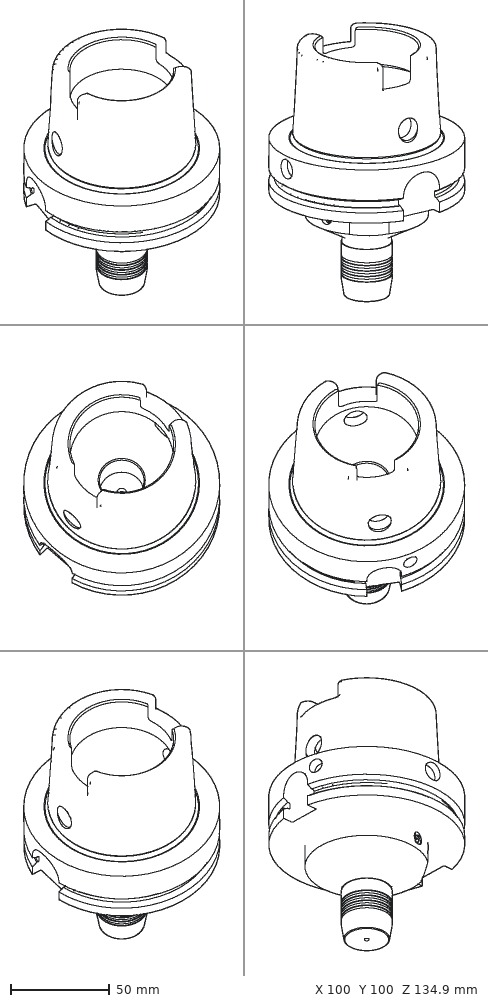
import cadquery as cq
import math

TOP_Z = 50.0
BOTTOM_Z = TOP_Z - 134.9

TAPER_BASE_Z = 2.4
TAPER_BASE_R = 37.8
TAPER_SLOPE = 1 / 20
TAPER_TOP_R = TAPER_BASE_R - TAPER_SLOPE * (TOP_Z - TAPER_BASE_Z)
RIM_ROUND = 1.8

RELIEF_R = 37.4
RELIEF_CHAMFER = 0.8
RELIEF_FILLET = 1.1
RELIEF_FLOOR_R = 39.1
RELIEF_MOUTH_R = 39.7
RELIEF_DEPTH = 0.3

BORE_R = 26.5
RIM_CHAMFER = 1.0
CLAMP_EDGE_Z = 30.5
UNDERCUT_R = 31.4
CLAMP_SHOULDER_ANGLE = 30.0
UNDERCUT_BOTTOM_Z = 10.4
FLOOR_FILLET = 6.7
FLOOR_Z = UNDERCUT_BOTTOM_Z - FLOOR_FILLET
TUBE_HOLE_R = 11.3
TUBE_HOLE_CHAMFER = 0.7
TUBE_HOLE_DEPTH = 16.2
COOLANT_R = 1.2
COOLANT_COUNTERSINK_R = 2.4

DRIVE_HALF_WIDTH = 10.0
DRIVE_STRAIGHT_Y = 27.0
DRIVE_FLARE_R = 5.0
DRIVE_FLARE_ANGLE = 25.0
DRIVE_FLOOR_FILLET = 1.9
DRIVE_EDGE_ROUND = 0.8
DRIVE_REACH = 40.5
FRONT_DRIVE_FLOOR_Z = 35.0
BACK_DRIVE_FLOOR_Z = 39.8

ACCESS_Z = 15.0
ACCESS_R = 6.0
ACCESS_COUNTERSINK_START = 36.7

FLANGE_R = 100.0 / 2
FLANGE_BOTTOM_Z = -28.7
GROOVE_Z = -19.8
GROOVE_MOUTH_HALF = 3.4
GROOVE_BEVEL_R = 49.2
GROOVE_BEVEL_HALF = 3.0
GROOVE_LIP_R = 47.2
GROOVE_LIP_HALF = 1.8
GROOVE_FLOOR_R = 45.7
GROOVE_FILLET = 0.8

KEY_FLOOR = 43.2
KEY_FILLET = 0.5
FRONT_KEY_HALF_WIDTH = 11.2
FRONT_KEY_Z = -15.6
BACK_KEY_HALF_WIDTH = 9.0
BACK_KEY_Z = -15.2

RIM_HOLE_Z = -7.0
CHIP_HOLE_R = 10.1 / 2
CHIP_HOLE_FLOOR = 45.9
SIDE_HOLE_R = 3.8
SIDE_HOLE_FLOOR = 44.5
SIDE_HOLE_ANGLE = 106.0

HUB_R = 63.0 / 2
HUB_FILLET = 1.0
HUB_BOTTOM_Z = -41.7
FLAT_DISTANCE = 29.8
FLAT_ANGLE = 237.5
FLAT_TOP_Z = -30.2

NECK_R = 12.7
NECK_TOP_Z = -52.1
NECK_FILLET = 3.0
NOSE_R = 26.0 / 2
NOSE_TOP_Z = -56.0
TIP_TOP_Z = -76.2
TIP_R = 11.6
TIP_CHAMFER = 0.4

RING_COUNT = 4
RING_TOP_Z = -64.0
RING_PITCH = 3.0
RING_WIRE_R = 0.8

SCREW_Y = -8.2
SCREW_Z = -35.2
SCREW_R = 2.5
SCREW_MOUTH_R = 3.2
SCREW_FACE = 28.7
SCREW_LENGTH = 8.1
SOCKET_WIDTH = 2.5
SOCKET_DEPTH = 2.0
SOCKET_TIP_DEPTH = 0.8


def ring_heights():
    return [RING_TOP_Z - i * RING_PITCH for i in range(RING_COUNT)]


def turned(points):
    """Solid of revolution about Z from (radius, height) points."""
    return cq.Workplane("XZ").polyline(points).close().revolve(360, (0, 0), (0, 1))


def radial_plane(angle, distance, height):
    """Plane facing outward from the Z axis; its local y points up."""
    direction = math.radians(angle)
    outward = (math.cos(direction), math.sin(direction), 0)
    origin = (distance * outward[0], distance * outward[1], height)
    across = (-outward[1], outward[0], 0)
    return cq.Plane(origin=origin, xDir=across, normal=outward)


def outer_body():
    upper_lip = [
        (FLANGE_R, GROOVE_MOUTH_HALF),
        (GROOVE_BEVEL_R, GROOVE_BEVEL_HALF),
        (GROOVE_LIP_R, GROOVE_LIP_HALF),
        (GROOVE_FLOOR_R, GROOVE_LIP_HALF),
    ]
    groove = [(radius, GROOVE_Z + offset) for radius, offset in upper_lip]
    groove += [(radius, GROOVE_Z - offset) for radius, offset in reversed(upper_lip)]
    shank = [
        (0, TOP_Z),
        (TAPER_TOP_R, TOP_Z),
        (TAPER_BASE_R, TAPER_BASE_Z),
        (RELIEF_R, TAPER_BASE_Z - RELIEF_CHAMFER),
        (RELIEF_R, -RELIEF_DEPTH),
        (RELIEF_FLOOR_R, -RELIEF_DEPTH),
        (RELIEF_MOUTH_R, 0),
    ]
    lower = [
        (FLANGE_R, FLANGE_BOTTOM_Z),
        (HUB_R, FLANGE_BOTTOM_Z),
        (HUB_R, HUB_BOTTOM_Z),
        (NECK_R, NECK_TOP_Z),
        (NECK_R, NOSE_TOP_Z),
        (NOSE_R, NOSE_TOP_Z),
        (NOSE_R, TIP_TOP_Z),
        (TIP_R + TIP_CHAMFER / 4, BOTTOM_Z + TIP_CHAMFER),
        (TIP_R - TIP_CHAMFER, BOTTOM_Z),
        (0, BOTTOM_Z),
    ]
    body = turned(shank + [(FLANGE_R, 0)] + groove + lower)
    rounds = [
        (TAPER_TOP_R, TOP_Z, RIM_ROUND),
        (RELIEF_R, -RELIEF_DEPTH, RELIEF_FILLET),
        (GROOVE_FLOOR_R, GROOVE_Z + GROOVE_LIP_HALF, GROOVE_FILLET),
        (GROOVE_FLOOR_R, GROOVE_Z - GROOVE_LIP_HALF, GROOVE_FILLET),
        (HUB_R, FLANGE_BOTTOM_Z, HUB_FILLET),
        (NECK_R, NECK_TOP_Z, NECK_FILLET),
    ]
    for circle_radius, height, round_radius in rounds:
        body = body.edges(circle_at(circle_radius, height)).fillet(round_radius)
    return body


def circle_at(radius, height):
    """Selector for the circle of the given radius about Z at the given height."""
    margin = 0.01
    inner = radius * math.sqrt(0.5)
    return cq.selectors.BoxSelector(
        (-radius - margin, -radius - margin, height - margin),
        (radius + margin, radius + margin, height + margin),
        boundingbox=True,
    ) - cq.selectors.BoxSelector(
        (-inner, -inner, height - margin), (inner, inner, height + margin), boundingbox=True
    )


def bore():
    shoulder_height = (UNDERCUT_R - BORE_R) * math.tan(math.radians(CLAMP_SHOULDER_ANGLE))
    countersink = COOLANT_COUNTERSINK_R - COOLANT_R
    tube_floor_z = FLOOR_Z - TUBE_HOLE_DEPTH
    bored = turned([
        (0, TOP_Z),
        (BORE_R + RIM_CHAMFER, TOP_Z),
        (BORE_R, TOP_Z - RIM_CHAMFER),
        (BORE_R, CLAMP_EDGE_Z),
        (UNDERCUT_R, CLAMP_EDGE_Z - shoulder_height),
        (UNDERCUT_R, FLOOR_Z),
        (TUBE_HOLE_R + TUBE_HOLE_CHAMFER, FLOOR_Z),
        (TUBE_HOLE_R, FLOOR_Z - TUBE_HOLE_CHAMFER),
        (TUBE_HOLE_R, tube_floor_z),
        (COOLANT_COUNTERSINK_R, tube_floor_z),
        (COOLANT_R, tube_floor_z - countersink),
        (COOLANT_R, BOTTOM_Z),
        (0, BOTTOM_Z),
    ])
    return bored.edges(circle_at(UNDERCUT_R, FLOOR_Z)).fillet(FLOOR_FILLET)


def flared_outline(side, floor_z):
    """Drive slot outline whose walls flare outward; side is -1 for the front and +1 for the back."""
    angle = math.radians(DRIVE_FLARE_ANGLE)
    centre_x = DRIVE_HALF_WIDTH + DRIVE_FLARE_R
    mid_x = centre_x - DRIVE_FLARE_R * math.sqrt(0.5)
    mid_y = DRIVE_STRAIGHT_Y + DRIVE_FLARE_R * math.sqrt(0.5)
    flare_x = centre_x + DRIVE_FLARE_R * math.sin(angle)
    flare_y = DRIVE_STRAIGHT_Y + DRIVE_FLARE_R * math.cos(angle)
    reach_y = flare_y - (DRIVE_REACH - flare_x) * math.tan(angle)
    inner_y = BORE_R / 2
    return (
        cq.Workplane("XY", origin=(0, 0, floor_z))
        .moveTo(-DRIVE_HALF_WIDTH, side * inner_y)
        .lineTo(DRIVE_HALF_WIDTH, side * inner_y)
        .lineTo(DRIVE_HALF_WIDTH, side * DRIVE_STRAIGHT_Y)
        .threePointArc((mid_x, side * mid_y), (flare_x, side * flare_y))
        .lineTo(DRIVE_REACH, side * reach_y)
        .lineTo(DRIVE_REACH, side * FLANGE_R)
        .lineTo(-DRIVE_REACH, side * FLANGE_R)
        .lineTo(-DRIVE_REACH, side * reach_y)
        .lineTo(-flare_x, side * flare_y)
        .threePointArc((-mid_x, side * mid_y), (-DRIVE_HALF_WIDTH, side * DRIVE_STRAIGHT_Y))
        .close()
    )


def drive_slot(side, floor_z):
    """Slot cutter with a filleted floor."""
    slot = flared_outline(side, floor_z).extrude(TOP_Z - floor_z)
    return slot.faces("<Z").edges().fillet(DRIVE_FLOOR_FILLET)


def drive_slot_mouth(side):
    """Cutter that rounds over the top edges of the drive slot walls."""
    start_z = TOP_Z - RIM_ROUND
    base_z = start_z - RIM_ROUND
    walls = cq.Workplane("XY", origin=(0, 0, base_z)).rect(4 * DRIVE_REACH, 4 * DRIVE_REACH)
    walls = walls.extrude(TOP_Z - base_z)
    walls = walls.cut(flared_outline(side, base_z).extrude(TOP_Z - base_z))
    half_box = 1.5 * DRIVE_REACH
    slot_edges = cq.selectors.BoxSelector(
        (-half_box, -half_box, start_z), (half_box, half_box, TOP_Z + RIM_ROUND)
    )
    walls = walls.faces(">Z").edges(slot_edges).fillet(RIM_ROUND)
    inner_y = BORE_R / 2
    layer = (
        cq.Workplane("XY", origin=(0, side * (inner_y + FLANGE_R) / 2, start_z))
        .rect(2 * (DRIVE_REACH - RIM_ROUND), FLANGE_R - inner_y - 2 * RIM_ROUND)
        .extrude(RIM_ROUND)
    )
    return layer.cut(walls)


def outer_floor_edge(body, floor_z):
    """Outer arc of the drive slot floor at the given height."""
    edge_r = TAPER_BASE_R - TAPER_SLOPE * (floor_z - TAPER_BASE_Z)
    arcs = body.edges("%CIRCLE").vals()
    return [
        arc for arc in arcs
        if abs(arc.radius() - edge_r) < 0.01 and abs(arc.Center().z - floor_z) < 0.01
    ]


def keyway(side, half_width, centre_z, floor_distance):
    """Round-topped keyway cutter that opens through the bottom of the flange."""
    drop = centre_z - FLANGE_BOTTOM_Z + 2 * KEY_FILLET
    plane = radial_plane(90 * side, floor_distance, centre_z)
    cutter = (
        cq.Workplane(plane)
        .moveTo(-half_width, -drop)
        .lineTo(-half_width, 0)
        .threePointArc((0, half_width), (half_width, 0))
        .lineTo(half_width, -drop)
        .close()
        .extrude(FLANGE_R)
    )
    inner_face = cutter.faces("<Y" if side > 0 else ">Y")
    return inner_face.edges().fillet(KEY_FILLET)


def rim_hole(angle, radius, floor_distance):
    return cq.Workplane(radial_plane(angle, floor_distance, RIM_HOLE_Z)).circle(radius).extrude(FLANGE_R)


def access_hole():
    """Cross hole with a countersink at both mouths, which bites deepest at the wide end of the taper."""
    hole = cq.Workplane("XZ", origin=(0, 0, ACCESS_Z)).circle(ACCESS_R).extrude(FLANGE_R, both=True)
    depth = TAPER_BASE_R + 1.3 - ACCESS_COUNTERSINK_START
    for angle in (90, 270):
        mouth = (
            cq.Workplane(radial_plane(angle, ACCESS_COUNTERSINK_START, ACCESS_Z))
            .circle(ACCESS_R)
            .workplane(offset=depth)
            .circle(ACCESS_R + depth)
            .loft()
        )
        hole = hole.union(mouth)
    return hole


def hub_flat():
    height = FLAT_TOP_Z - NECK_TOP_Z
    plane = radial_plane(FLAT_ANGLE, FLAT_DISTANCE, FLAT_TOP_Z - height / 2)
    return cq.Workplane(plane).rect(HUB_R, height).extrude(HUB_R)


def ring_groove(height):
    inner_r = NOSE_R - 2 * RING_WIRE_R
    outer_r = NOSE_R + RING_WIRE_R
    half = RING_WIRE_R
    return turned([
        (inner_r, height - half),
        (outer_r, height - half),
        (outer_r, height + half),
        (inner_r, height + half),
    ])


def screw_plane(distance):
    """Plane across the set screw axis at the given distance from the YZ plane, facing -X."""
    return cq.Plane(origin=(-distance, SCREW_Y, SCREW_Z), xDir=(0, -1, 0), normal=(-1, 0, 0))


def screw_hole():
    """Blind hole for the set screw with a countersunk mouth in the hub wall."""
    hole = cq.Workplane(screw_plane(SCREW_FACE - SCREW_LENGTH)).circle(SCREW_R).extrude(HUB_R)
    countersink = SCREW_MOUTH_R - SCREW_R
    wall_x = math.sqrt(HUB_R**2 - SCREW_Y**2)
    mouth = (
        cq.Workplane(screw_plane(wall_x - countersink))
        .circle(SCREW_R)
        .workplane(offset=2 * countersink)
        .circle(SCREW_MOUTH_R + countersink)
        .loft()
    )
    return hole.union(mouth)


def make_housing():
    body = outer_body().cut(bore())
    for side, floor_z in ((-1, FRONT_DRIVE_FLOOR_Z), (1, BACK_DRIVE_FLOOR_Z)):
        body = body.cut(drive_slot(side, floor_z))
        body = body.newObject(outer_floor_edge(body, floor_z)).fillet(DRIVE_EDGE_ROUND)
        body = body.cut(drive_slot_mouth(side))
    body = body.cut(access_hole())
    body = body.cut(keyway(-1, FRONT_KEY_HALF_WIDTH, FRONT_KEY_Z, KEY_FLOOR))
    body = body.cut(keyway(1, BACK_KEY_HALF_WIDTH, BACK_KEY_Z, KEY_FLOOR))
    body = body.cut(rim_hole(180, CHIP_HOLE_R, CHIP_HOLE_FLOOR))
    body = body.cut(rim_hole(SIDE_HOLE_ANGLE, SIDE_HOLE_R, SIDE_HOLE_FLOOR))
    body = body.cut(hub_flat()).cut(screw_hole())
    for height in ring_heights():
        body = body.cut(ring_groove(height))
    return body


def make_sealing_ring(height):
    centre_r = NOSE_R - RING_WIRE_R
    return cq.Solid.makeTorus(centre_r, RING_WIRE_R, cq.Vector(0, 0, height), cq.Vector(0, 0, 1))


def make_set_screw():
    """Headless screw with a hexagon socket that ends in a conical bottom."""
    across_corners = SOCKET_WIDTH / math.cos(math.pi / 6)
    screw = cq.Workplane(screw_plane(SCREW_FACE - SCREW_LENGTH)).circle(SCREW_R).extrude(SCREW_LENGTH)
    socket = cq.Workplane(screw_plane(SCREW_FACE)).polygon(6, across_corners).extrude(-SOCKET_DEPTH)
    bottom = cq.Workplane(cq.Solid.makeCone(
        SOCKET_WIDTH / 2,
        0,
        SOCKET_TIP_DEPTH,
        pnt=cq.Vector(SOCKET_DEPTH - SCREW_FACE, SCREW_Y, SCREW_Z),
        dir=cq.Vector(1, 0, 0),
    ))
    return screw.cut(socket).cut(bottom)


housing = make_housing()
sealing_rings = [make_sealing_ring(height) for height in ring_heights()]
set_screw = make_set_screw()

result = cq.Compound.makeCompound([housing.val(), *sealing_rings, set_screw.val()])